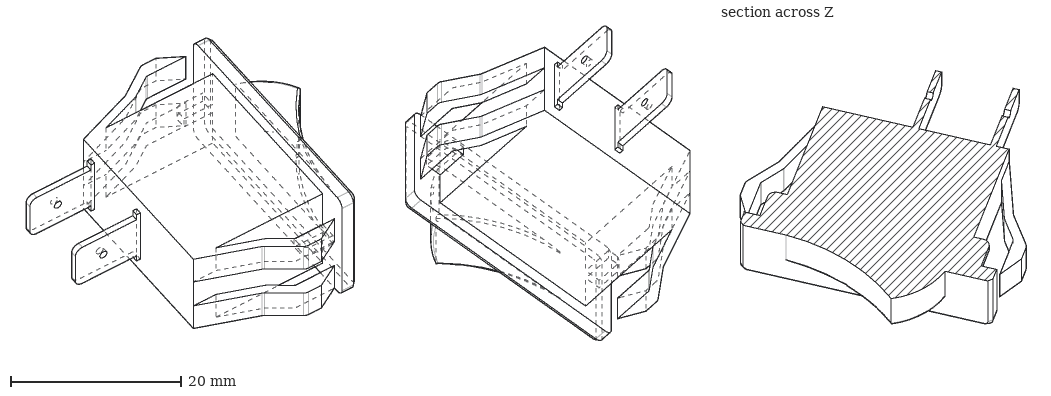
import cadquery as cq


bezel_width = 31.1
bezel_height = 16.5
bezel_thickness = 2.1
bezel_corner_radius = 1.0
bezel_chamfer = 0.5

body_width = 23.0
body_height = 12.2
body_depth = 18.4

rib_reach = 2.15
rib_depth = 4.07
rib_thickness = 1.43
rib_corner_radius = 1.0

clip_span = 34.6
clip_height = 4.0
clip_tip_depth = 1.07
clip_outer_start = 4.15
clip_outer_end = 6.28
clip_inner_end = 6.67
clip_outer_bend_x = 14.42
clip_outer_bend_depth = 10.45
clip_inner_bend_x = 13.55
clip_inner_bend_depth = 9.55
clip_root_depth = 15.2
clip_outer_bend_radius = 1.0
clip_inner_bend_radius = 0.5

terminal_positions = (-9.53, 0)
terminal_thickness = 0.8
terminal_length = 9.25
blade_height = 6.35
blade_corner_radius = 1.0
shoulder_height = 8.15
shoulder_length = 0.55
terminal_hole_diameter = 1.0
terminal_hole_from_end = 4.0

rocker_width = 19.55
rocker_height = 9.4
rocker_rise = 5.92
rocker_peak_x = -4.95
rocker_edge_radius = 0.32
rocker_embed = 1.07
rocker_back_mid = (-7.92, 5.67)
rocker_front_mid = (0.43, 4.43)


def box_behind(width, depth, height, front_y=0.0):
    """Box centred on X and Z that extends in -Y from front_y."""
    return cq.Workplane("XY").box(width, depth, height).translate((0, front_y - depth / 2, 0))


def extrude_centred(outline, height):
    """Extrude a closed XY outline symmetrically about Z = 0."""
    return outline.close().extrude(height / 2, both=True)


def round_upright_edges(solid, corners, radius):
    """Round the Z-parallel edges that pass through the given XY corners."""
    for x, y in corners:
        solid = solid.edges(cq.NearestToPointSelector((x, y, 0))).fillet(radius)
    return solid


def make_bezel():
    plate = box_behind(bezel_width, bezel_thickness, bezel_height, bezel_thickness)
    return plate.edges("|Y").fillet(bezel_corner_radius).faces(">Y").chamfer(bezel_chamfer)


def make_ribs():
    bar = box_behind(body_width + 2 * rib_reach, rib_depth, rib_thickness)
    return bar.edges("|Z and <Y").fillet(rib_corner_radius)


def make_clip():
    """Clip on the +X end, centred on Z = 0."""
    root_x = body_width / 2
    inner_x = bezel_width / 2
    outer_x = clip_span / 2
    outline = cq.Workplane("XY").polyline([
        (root_x, -body_depth),
        (clip_outer_bend_x, -clip_outer_bend_depth),
        (outer_x, -clip_outer_end),
        (outer_x, -clip_outer_start),
        (inner_x, -clip_tip_depth),
        (inner_x, -clip_inner_end),
        (clip_inner_bend_x, -clip_inner_bend_depth),
        (root_x, -clip_root_depth),
        (0, -clip_root_depth),
        (0, -body_depth),
    ])
    clip = extrude_centred(outline, clip_height)
    outer_bends = [(outer_x, -clip_outer_end), (clip_outer_bend_x, -clip_outer_bend_depth)]
    inner_bends = [(inner_x, -clip_inner_end), (clip_inner_bend_x, -clip_inner_bend_depth)]
    clip = round_upright_edges(clip, outer_bends, clip_outer_bend_radius)
    return round_upright_edges(clip, inner_bends, clip_inner_bend_radius)


def make_terminal():
    """Blade terminal on X = 0, standing on the rear face of the body."""
    blade = box_behind(terminal_thickness, terminal_length, blade_height, -body_depth)
    blade = blade.edges("|X and <Y").fillet(blade_corner_radius)
    shoulder = box_behind(terminal_thickness, shoulder_length, shoulder_height, -body_depth)
    hole_y = -body_depth - terminal_length + terminal_hole_from_end
    hole = (
        cq.Workplane("YZ")
        .center(hole_y, 0)
        .circle(terminal_hole_diameter / 2)
        .extrude(terminal_thickness, both=True)
    )
    return blade.union(shoulder).cut(hole)


def make_rocker():
    """Rocker pressed down on its +X side, with its foot sunk into the bezel."""
    half_width = rocker_width / 2
    foot_y = bezel_thickness - rocker_embed
    outline = (
        cq.Workplane("XY")
        .moveTo(-half_width, foot_y)
        .lineTo(-half_width, bezel_thickness)
        .threePointArc(rocker_back_mid, (rocker_peak_x, bezel_thickness + rocker_rise))
        .threePointArc(rocker_front_mid, (half_width, bezel_thickness))
        .lineTo(half_width, foot_y)
    )
    rocker = extrude_centred(outline, rocker_height)
    return rocker.faces("|Z").edges("not(<Y)").fillet(rocker_edge_radius)


result = make_bezel()
result = result.union(box_behind(body_width, body_depth, body_height))
result = result.union(make_ribs())

right_clip = make_clip()
clip_z = (body_height - clip_height) / 2
for clip in (right_clip, right_clip.mirror("YZ")):
    for z in (-clip_z, clip_z):
        result = result.union(clip.translate((0, 0, z)))

terminal = make_terminal()
for x in terminal_positions:
    result = result.union(terminal.translate((x, 0, 0)))

result = result.union(make_rocker())